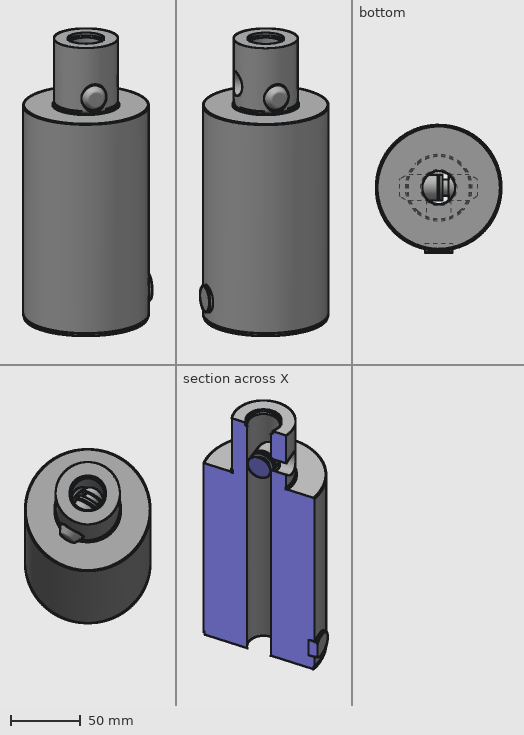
import cadquery as cq
import math

total_height = 210.0
housing_height = 160.0
housing_radius = 90.0 / 2
shank_radius = 46.0 / 2
edge_chamfer = 0.6

foot_height = 2.5
foot_inset = 0.6

relief_height = 2.5
relief_land = 0.6
relief_depth = 0.6
relief_rim_radius = 24.0

bore_radius = 11.8
mouth_radius = 13.0
mouth_depth = 2.0

pin_height = 172.0
pin_radius = 9.2
pin_length = 28.0
countersink_depth = 1.3
nose_radius = 6.0
nose_angle = 30.0
nose_fillet = 1.9
shoulder_fillet = 3.2
pin_joint_x = -0.2
pin_joint_chamfer = 0.6

neck_radius = 5.9
neck_start = 2.7
neck_end = 7.1

side_hole_radius = 8.8
side_hole_height = 178.5

plug_radius = 20.0 / 2
plug_height = 19.1
plug_reach = 46.8
plug_seat_y = 40.0
plug_chamfer = 0.6


def cylinder_along_x(radius, start, end, height):
    return cq.Workplane("YZ", origin=(start, 0, height)).circle(radius).extrude(end - start)


def cylinder_along_y(radius, start, end, height):
    return cq.Workplane("XZ", origin=(0, start, height)).circle(radius).extrude(start - end)


def revolve_about_z(points):
    return cq.Workplane("XZ").polyline(points).close().revolve(360, (0, 0, 0), (0, 1, 0))


def make_housing_blank():
    """Housing, foot rim, relief groove and shank turned as one solid."""
    foot_radius = housing_radius - foot_inset
    relief_radius = shank_radius - relief_depth
    return revolve_about_z([
        (0, 0),
        (foot_radius - edge_chamfer, 0),
        (foot_radius, edge_chamfer),
        (foot_radius, foot_height),
        (housing_radius, foot_height),
        (housing_radius, housing_height - edge_chamfer),
        (housing_radius - edge_chamfer, housing_height),
        (relief_rim_radius, housing_height),
        (relief_radius, housing_height - relief_depth),
        (relief_radius, housing_height + relief_land),
        (shank_radius, housing_height + relief_height),
        (shank_radius, total_height),
        (0, total_height),
    ])


def make_bore():
    """Through bore with a short counterbore and a chamfer down to the bore."""
    mouth_floor = total_height - mouth_depth
    mouth_chamfer = mouth_radius - bore_radius
    return revolve_about_z([
        (0, 0),
        (bore_radius, 0),
        (bore_radius, mouth_floor - mouth_chamfer),
        (mouth_radius, mouth_floor),
        (mouth_radius, total_height),
        (0, total_height),
    ])


def make_countersink(side):
    """Conical mouth of the pin hole; side is -1 for the -X wall and 1 for the +X wall."""
    cone = cq.Solid.makeCone(
        pin_radius + countersink_depth,
        pin_radius,
        countersink_depth,
        pnt=cq.Vector(side * shank_radius, 0, pin_height),
        dir=cq.Vector(-side, 0, 0),
    )
    return cq.Workplane(cone)


def make_housing():
    body = make_housing_blank().cut(make_bore())
    body = body.cut(cylinder_along_x(pin_radius, -shank_radius, shank_radius, pin_height))
    for side in (-1, 1):
        body = body.cut(make_countersink(side))
    body = body.cut(cylinder_along_y(side_hole_radius, 0, shank_radius, side_hole_height))
    return body.cut(cylinder_along_y(plug_radius, plug_seat_y, plug_reach, plug_height))


def make_pin():
    """Pin along +X from a chamfered inner end at X = 0 to a rounded conical nose."""
    cone_length = (pin_radius - nose_radius) / math.tan(math.radians(nose_angle))
    shoulder_x = pin_length - cone_length
    pin = (
        cq.Workplane("XY")
        .lineTo(0, pin_radius - pin_joint_chamfer)
        .lineTo(pin_joint_chamfer, pin_radius)
        .lineTo(shoulder_x, pin_radius)
        .lineTo(pin_length, nose_radius)
        .lineTo(pin_length, 0)
        .close()
        .revolve(360, (0, 0, 0), (1, 0, 0))
    )
    pin = pin.faces(">X").edges().fillet(nose_fillet)
    shoulder_edge = cq.selectors.NearestToPointSelector((shoulder_x, 0, 0))
    return pin.edges("%CIRCLE").edges(shoulder_edge).fillet(shoulder_fillet)


def make_left_pin():
    pin = make_pin().rotate((0, 0, 0), (0, 0, 1), 180)
    return pin.translate((pin_joint_x, 0, pin_height))


def make_right_pin():
    pin = make_pin().translate((pin_joint_x, 0, pin_height))
    groove = cylinder_along_x(pin_radius, neck_start, neck_end, pin_height)
    neck = cylinder_along_x(neck_radius, neck_start, neck_end, pin_height)
    return pin.cut(groove.cut(neck))


def make_plug():
    plug = cylinder_along_y(plug_radius, plug_seat_y, plug_reach, plug_height)
    return plug.faces(">Y").chamfer(plug_chamfer)


housing = make_housing()
left_pin = make_left_pin()
right_pin = make_right_pin()
plug = make_plug()

result = cq.Compound.makeCompound([housing.val(), left_pin.val(), right_pin.val(), plug.val()])